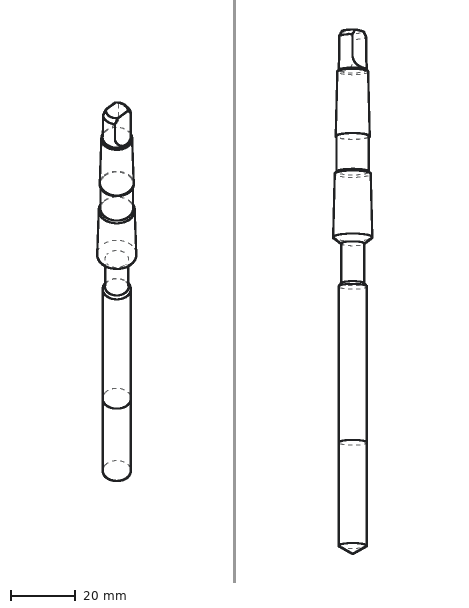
import cadquery as cq
import math

TOTAL_LENGTH = 165.1
CUTTER_TOP = 35.2
ROD_TOP = 84.4
NECK_BOTTOM = 85.4
TAPER_CHAMFER_BOTTOM = 97.9
TAPER_BOTTOM = 99.9
RELIEF_BOTTOM = 119.9
RELIEF_TOP = 131.7
TAPER_TOP = 152.0
TANG_FLAT_BOTTOM = 156.5

ROD_DIAMETER = 8.8
POINT_ANGLE = 118.0
NECK_DIAMETER = 7.3
TAPER_LARGE_DIAMETER = 12.2
TAPER_RATIO = 0.05
RELIEF_DIAMETER = 10.0
TANG_DIAMETER = 8.8

TANG_THICKNESS = 5.3
TANG_TURN = -13.0
TANG_RUNOUT_RADIUS = 5.0
TANG_CHAMFER_WIDTH = 1.0
TANG_CHAMFER_HEIGHT = 1.7
TANG_CROWN_HEIGHT = 0.3

RELIEF_BEVEL = 0.7
TANG_BEVEL = 0.5

rod_radius = ROD_DIAMETER / 2
neck_radius = NECK_DIAMETER / 2
relief_radius = RELIEF_DIAMETER / 2
tang_radius = TANG_DIAMETER / 2
crown_bottom = TOTAL_LENGTH - TANG_CROWN_HEIGHT
point_height = rod_radius / math.tan(math.radians(POINT_ANGLE / 2))


def taper_radius(height):
    """Radius of the shank cone at a given height."""
    return (TAPER_LARGE_DIAMETER - TAPER_RATIO * (height - TAPER_BOTTOM)) / 2


def revolve_profile(points):
    """Turn a closed (radius, height) outline about the Z axis."""
    return cq.Workplane("XZ").polyline(points).close().revolve(360, (0, 0), (0, 1))


def make_cutter():
    """Cylindrical cutting end with a conical point."""
    return revolve_profile([
        (0, 0),
        (rod_radius, point_height),
        (rod_radius, CUTTER_TOP),
        (0, CUTTER_TOP),
    ])


def make_tang_cut():
    """Material removed beside one flat, with a concave run-out at its lower end."""
    flat_x = TANG_THICKNESS / 2
    outer_x = TAPER_LARGE_DIAMETER
    arc_center_x = flat_x + TANG_RUNOUT_RADIUS
    arc_bottom = TANG_FLAT_BOTTOM - TANG_RUNOUT_RADIUS
    arc_offset = TANG_RUNOUT_RADIUS * math.sqrt(0.5)
    arc_middle = (arc_center_x - arc_offset, TANG_FLAT_BOTTOM - arc_offset)
    cut = (
        cq.Workplane("XZ")
        .moveTo(flat_x, TOTAL_LENGTH)
        .lineTo(flat_x, TANG_FLAT_BOTTOM)
        .threePointArc(arc_middle, (arc_center_x, arc_bottom))
        .lineTo(outer_x, arc_bottom)
        .lineTo(outer_x, TOTAL_LENGTH)
        .close()
        .extrude(tang_radius * 2, both=True)
    )
    tang_zone = (
        cq.Workplane("XY")
        .workplane(offset=TAPER_TOP)
        .circle(2 * outer_x)
        .extrude(TOTAL_LENGTH - TAPER_TOP)
    )
    return cut.intersect(tang_zone)


def make_shank():
    """Rod, neck, relieved taper and flatted tang."""
    shank = revolve_profile([
        (0, CUTTER_TOP),
        (rod_radius, CUTTER_TOP),
        (rod_radius, ROD_TOP),
        (neck_radius, NECK_BOTTOM),
        (neck_radius, TAPER_CHAMFER_BOTTOM),
        (taper_radius(TAPER_BOTTOM), TAPER_BOTTOM),
        (taper_radius(RELIEF_BOTTOM), RELIEF_BOTTOM),
        (relief_radius, RELIEF_BOTTOM + RELIEF_BEVEL),
        (relief_radius, RELIEF_TOP),
        (taper_radius(RELIEF_TOP), RELIEF_TOP),
        (taper_radius(TAPER_TOP), TAPER_TOP),
        (tang_radius, TAPER_TOP + TANG_BEVEL),
        (tang_radius, crown_bottom - TANG_CHAMFER_HEIGHT),
        (tang_radius - TANG_CHAMFER_WIDTH, crown_bottom),
        (0, TOTAL_LENGTH),
    ])
    tang_cut = make_tang_cut()
    for side in (0, 180):
        shank = shank.cut(tang_cut.rotate((0, 0, 0), (0, 0, 1), TANG_TURN + side))
    return shank


cutter = make_cutter()
shank = make_shank()

result = cq.Compound.makeCompound([cutter.val(), shank.val()])